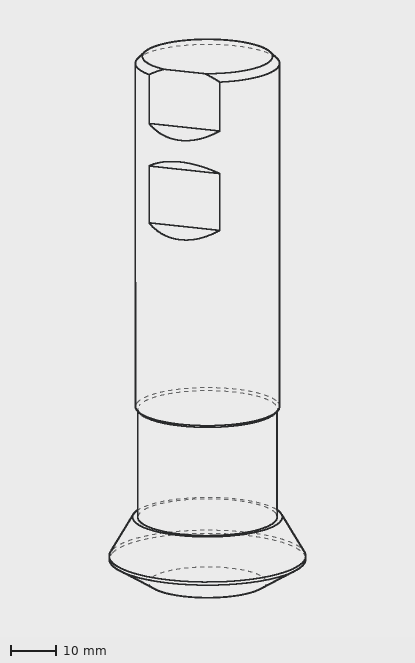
import cadquery as cq

total_height = 120.0
head_height = 14.9
rim_bottom = 5.3
rim_top = 6.0
shank_bottom = 39.8

bottom_radius = 25.9 / 2
rim_radius = 43.3 / 2
head_top_radius = 33.0 / 2
neck_radius = 30.7 / 2
shank_radius = 31.8 / 2
top_chamfer = 1.5

flat_depth = 2.4
upper_flat_end = 12.7
lower_flat_start = 22.5
lower_flat_end = 35.4


def turned_body():
    """Conical head, neck and chamfered shank revolved about Z."""
    step = shank_radius - neck_radius
    half_profile = [
        (0, 0),
        (bottom_radius, 0),
        (rim_radius, rim_bottom),
        (rim_radius, rim_top),
        (head_top_radius, head_height),
        (neck_radius, head_height),
        (neck_radius, shank_bottom - step / 2),
        (shank_radius, shank_bottom + step / 2),
        (shank_radius, total_height - top_chamfer),
        (shank_radius - top_chamfer, total_height),
        (0, total_height),
    ]
    return cq.Workplane("XZ").polyline(half_profile).close().revolve(360, (0, 0), (0, 1))


def flat_cutter(side_profile):
    """Prism across the full shank width from a (y, z) outline."""
    return cq.Workplane("YZ").polyline(side_profile).close().extrude(shank_radius, both=True)


flat_y = flat_depth - shank_radius
outer_y = -shank_radius - flat_depth
runout = flat_y - outer_y

upper_flat = flat_cutter([
    (flat_y, total_height),
    (flat_y, total_height - upper_flat_end),
    (outer_y, total_height - upper_flat_end - runout),
    (outer_y, total_height),
])
lower_flat = flat_cutter([
    (flat_y, total_height - lower_flat_start),
    (flat_y, total_height - lower_flat_end),
    (outer_y, total_height - lower_flat_end - runout),
    (outer_y, total_height - lower_flat_start + runout),
])

result = turned_body().cut(upper_flat).cut(lower_flat)